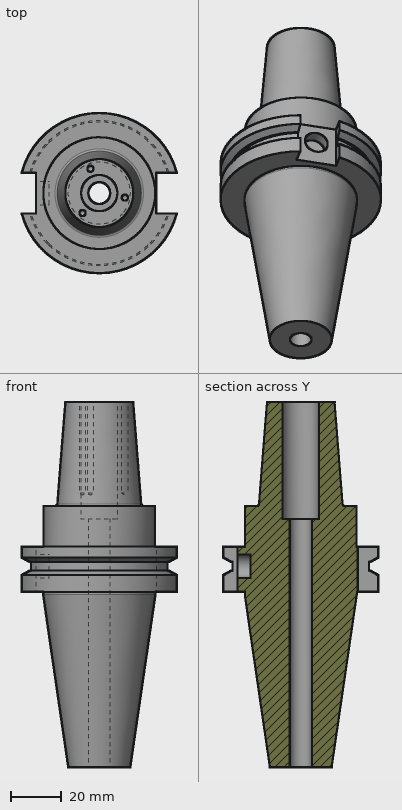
import cadquery as cq
import math

total_height = 144.5
gauge_height = 68.3
flange_bottom = 69.3
flange_top = 87.2
collar_top = 103.3

gauge_radius = 22.2
taper_slope = 7 / 24
taper_end_radius = gauge_radius - gauge_height * taper_slope / 2
flange_diameter = 63.4
flange_radius = flange_diameter / 2
collar_radius = 22.1
nose_base_radius = 16.6
nose_tip_radius = 13.5
nose_fillet = 0.9

groove_middle = 79.5
groove_floor_width = 3.5
groove_floor_radius = 28.2
groove_flank_height = 1.7
groove_flank_angle = 60.0
groove_step_radius = flange_radius - groove_flank_height * math.tan(math.radians(groove_flank_angle))

slot_width = 16.0
left_slot_floor = 25.0
right_slot_floor = 22.5

recess_diameter = 9.2
recess_depth = 5.0

bore_diameter = 14.3
bore_depth = 46.2
through_diameter = 8.5
coolant_diameter = 2.5
coolant_depth = 36.1
coolant_circle_radius = 10.3
coolant_point_angle = 118.0
coolant_count = 3
coolant_start_angle = -10.0


def turned_body():
    """Taper, flange, collar and nose as one revolved profile."""
    groove_bottom = groove_middle - groove_floor_width / 2
    groove_top = groove_middle + groove_floor_width / 2
    nose_base = collar_top + nose_fillet
    arc_offset = nose_fillet * (1 - math.sqrt(0.5))
    profile = (
        cq.Workplane("XZ")
        .lineTo(taper_end_radius, 0)
        .lineTo(gauge_radius, gauge_height)
        .lineTo(gauge_radius, flange_bottom)
        .lineTo(flange_radius, flange_bottom)
        .lineTo(flange_radius, groove_bottom - groove_flank_height)
        .lineTo(groove_step_radius, groove_bottom)
        .lineTo(groove_floor_radius, groove_bottom)
        .lineTo(groove_floor_radius, groove_top)
        .lineTo(groove_step_radius, groove_top)
        .lineTo(flange_radius, groove_top + groove_flank_height)
        .lineTo(flange_radius, flange_top)
        .lineTo(collar_radius, flange_top)
        .lineTo(collar_radius, collar_top)
        .lineTo(nose_base_radius + nose_fillet, collar_top)
        .threePointArc(
            (nose_base_radius + arc_offset, collar_top + arc_offset),
            (nose_base_radius, nose_base),
        )
        .lineTo(nose_tip_radius, total_height)
        .lineTo(0, total_height)
        .close()
    )
    return profile.revolve(360, (0, 0, 0), (0, 1, 0))


def drive_slot(side, floor_distance):
    """Cutter for a flange slot; side is -1 for left and 1 for right."""
    return (
        cq.Workplane("XY", origin=(side * (floor_distance + flange_radius / 2), 0, flange_bottom))
        .rect(flange_radius, slot_width)
        .extrude(flange_top - flange_bottom)
    )


def slot_recess():
    """Blind round cutter running inward from the left slot floor."""
    return (
        cq.Workplane("YZ", origin=(-left_slot_floor, 0, groove_middle))
        .circle(recess_diameter / 2)
        .extrude(recess_depth)
    )


def drill_axial_holes(body):
    """Through hole and tool bore, drilled from the nose tip."""
    tip = cq.Workplane("XY", origin=(0, 0, total_height))
    through = tip.circle(through_diameter / 2).extrude(-total_height)
    bore = tip.circle(bore_diameter / 2).extrude(-bore_depth)
    return body.cut(through).cut(bore)


def coolant_hole(angle):
    """Cutter for one blind coolant hole with a conical drill point."""
    radius = coolant_diameter / 2
    point_length = radius / math.tan(math.radians(coolant_point_angle / 2))
    hole = (
        cq.Workplane("XZ", origin=(coolant_circle_radius, 0, total_height))
        .lineTo(radius, 0)
        .lineTo(radius, -coolant_depth)
        .lineTo(0, -coolant_depth - point_length)
        .close()
        .revolve(360, (0, 0, 0), (0, 1, 0))
    )
    return hole.rotate((0, 0, 0), (0, 0, 1), angle)


result = turned_body()
result = result.cut(drive_slot(-1, left_slot_floor)).cut(drive_slot(1, right_slot_floor))
result = result.cut(slot_recess())
result = drill_axial_holes(result)
for index in range(coolant_count):
    result = result.cut(coolant_hole(coolant_start_angle + index * 360 / coolant_count))